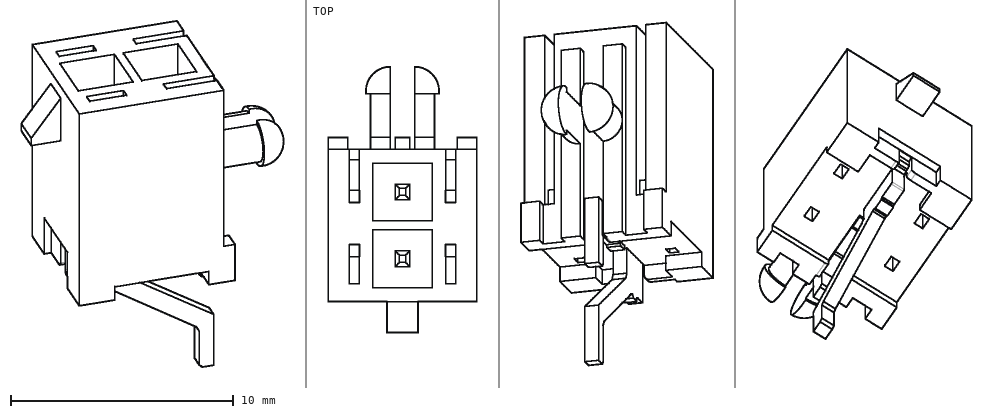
import cadquery as cq
import math

HOUSING_WIDTH = 6.7
HOUSING_HEIGHT = 9.9
FRONT_Y = -7.38
REAR_WALL_Y = -0.52
STANDOFF_WIDTH = 0.89
STANDOFF_HEIGHT = 1.86

LATCH_WIDTH = 1.42
LATCH_REACH = 1.4
LATCH_BOTTOM_Z = 7.1
LATCH_LIP_HEIGHT = 0.38
LATCH_TOP_Z = 9.3

CONTACT_PITCH = 3.0
FRONT_CONTACT_Y = -5.45
REAR_CONTACT_Y = FRONT_CONTACT_Y + CONTACT_PITCH
CAVITY_WIDTH = 2.65
CAVITY_DEPTH = 2.59
CAVITY_FLOOR_Z = 2.7

SLOT_WIDTH = 0.45
SLOT_X = 2.16
SLOT_WINDOW = 0.54
FRONT_SLOT_START_Y = -6.57
FRONT_SLOT_END_Y = -4.82
REAR_SLOT_START_Y = -2.93
REAR_SLOT_STEP_Y = -1.0
SLOT_FLOOR_Z = CAVITY_FLOOR_Z
SLOT_STEP_Z = STANDOFF_HEIGHT

CHANNEL_START_Y = -5.7
CHANNEL_END_Y = -1.24
CHANNEL_HEIGHT = 0.68
RECESS_WIDTH = 3.3
RECESS_DEPTH = 0.33
GATE_THICKNESS = 0.4
SLOT_MOUTH_RADIUS = 0.2

PEG_Z = 5.3
PEG_HALF_GAP = 0.54
PEG_RADIUS = 0.9
PEG_HEAD_RADIUS = 1.11
PEG_HEAD_UNDERCUT = 0.11
PEG_TIP_Y = 3.18
PEG_RIB_TOP_Z = 8.92

PIN_WIDTH = 0.65
PIN_THICKNESS = 0.7
PIN_TOP_Z = 7.95
PIN_TIP_CHAMFER = 0.19
PIN_TIP_LENGTH = 0.8
TAIL_CHAMFER = 0.15
BASE_TOP_Z = 1.76

FRONT_TAIL_END_Z = -6.0
FRONT_BASE_FRONT_Y = -6.45
FRONT_BASE_REAR_Y = -4.12
FRONT_BASE_BOTTOM_Z = -1.18
BARB_REACH = 0.4
BARB_BOTTOM_Z = 1.0
BARB_CHAMFER = 0.15
BARB_LEAD_RUN = 0.03
BARB_LEAD_HEIGHT = 0.1
NUB_FRONT_Y = -5.56
NUB_REAR_Y = -5.07
NUB_HEIGHT = 0.2
NUB_LEAD = 0.11
NUB_ROOT = 0.06
ARM_TOP_Z = -0.7
ARM_OUTER_BEND_Z = -3.37
ARM_INNER_BEND_Z = -3.96
ARM_ROOT_BEVEL = 0.19
TAIL_BEND_BEVEL = 0.15
BASE_CORNER_RADIUS = 0.08

REAR_TAIL_END_Z = -1.34
REAR_BASE_FRONT_Y = -3.78
REAR_BASE_BOTTOM_Z = 0.5
RELIEF_HEIGHT = 0.1
RELIEF_FRONT_Y = -3.23
RELIEF_REAR_Y = -1.69


def box(x_range, y_range, z_range):
    """Axis-aligned box between three pairs of limits."""
    size = [high - low for low, high in (x_range, y_range, z_range)]
    corner = (x_range[0], y_range[0], z_range[0])
    return cq.Workplane("XY").box(*size, centered=False).translate(corner)


def mid_box(width, y_range, z_range):
    """Box centred on the mid plane."""
    return box((-width / 2, width / 2), y_range, z_range)


def mirrored(solid):
    """A solid at +X together with its mirror image at -X."""
    return solid.union(solid.mirror("YZ"))


def extrude_profile(points, width):
    """Extrude a (Y, Z) outline symmetrically about the mid plane."""
    return cq.Workplane("YZ").polyline(points).close().extrude(width / 2, both=True)


def edge_along_x(solid, y, z):
    """Pick the edge along X that passes through (y, z)."""
    nearest = cq.selectors.NearestToPointSelector((0, y, z))
    return solid.edges("|X").edges(nearest)


def make_post(contact_y):
    """Square contact post with a tapered tip."""
    shoulder_z = PIN_TOP_Z - PIN_TIP_LENGTH
    y_range = (contact_y - PIN_THICKNESS / 2, contact_y + PIN_THICKNESS / 2)
    shaft = mid_box(PIN_WIDTH, y_range, (BASE_TOP_Z, shoulder_z))
    tip = (
        cq.Workplane("XY", origin=(0, contact_y, shoulder_z))
        .rect(PIN_WIDTH, PIN_THICKNESS)
        .workplane(offset=PIN_TIP_LENGTH)
        .rect(PIN_WIDTH - 2 * PIN_TIP_CHAMFER, PIN_THICKNESS - 2 * PIN_TIP_CHAMFER)
        .loft(ruled=True)
    )
    return shaft.union(tip)


def tail_end(end_z):
    """Tail end points: chamfered front corner, then square rear corner."""
    return [
        (-PIN_THICKNESS, end_z + TAIL_CHAMFER),
        (-PIN_THICKNESS + TAIL_CHAMFER, end_z),
        (0, end_z),
    ]


def make_front_pin():
    barb_y = FRONT_BASE_FRONT_Y - BARB_REACH
    nub_bottom_z = FRONT_BASE_BOTTOM_Z - NUB_HEIGHT
    outline = [
        (FRONT_BASE_REAR_Y, BASE_TOP_Z),
        (barb_y + BARB_LEAD_RUN, BASE_TOP_Z),
        (barb_y, BASE_TOP_Z - BARB_LEAD_HEIGHT),
        (barb_y, BARB_BOTTOM_Z + BARB_CHAMFER),
        (barb_y + BARB_CHAMFER, BARB_BOTTOM_Z),
        (FRONT_BASE_FRONT_Y - BARB_CHAMFER, BARB_BOTTOM_Z),
        (FRONT_BASE_FRONT_Y, BARB_BOTTOM_Z - BARB_CHAMFER),
        (FRONT_BASE_FRONT_Y, FRONT_BASE_BOTTOM_Z),
        (NUB_FRONT_Y - NUB_ROOT, FRONT_BASE_BOTTOM_Z),
        (NUB_FRONT_Y, FRONT_BASE_BOTTOM_Z - NUB_ROOT),
        (NUB_FRONT_Y, nub_bottom_z),
        (NUB_REAR_Y, nub_bottom_z),
        (NUB_REAR_Y + NUB_LEAD, FRONT_BASE_BOTTOM_Z - NUB_ROOT),
        (NUB_REAR_Y + 2 * NUB_LEAD, FRONT_BASE_BOTTOM_Z - NUB_ROOT),
        (-PIN_THICKNESS, ARM_INNER_BEND_Z),
        *tail_end(FRONT_TAIL_END_Z),
        (0, ARM_OUTER_BEND_Z),
        (FRONT_BASE_REAR_Y, ARM_TOP_Z),
    ]
    pin = extrude_profile(outline, PIN_WIDTH)
    pin = edge_along_x(pin, FRONT_BASE_FRONT_Y, FRONT_BASE_BOTTOM_Z).fillet(BASE_CORNER_RADIUS)
    pin = edge_along_x(pin, -PIN_THICKNESS, ARM_INNER_BEND_Z).chamfer(TAIL_BEND_BEVEL)
    pin = edge_along_x(pin, FRONT_BASE_REAR_Y, ARM_TOP_Z).chamfer(ARM_ROOT_BEVEL)
    return pin.union(make_post(FRONT_CONTACT_Y))


def make_rear_pin():
    relief_z = REAR_BASE_BOTTOM_Z + RELIEF_HEIGHT
    outline = [
        (0, BASE_TOP_Z),
        (REAR_BASE_FRONT_Y, BASE_TOP_Z),
        (REAR_BASE_FRONT_Y, REAR_BASE_BOTTOM_Z),
        (RELIEF_FRONT_Y, REAR_BASE_BOTTOM_Z),
        (RELIEF_FRONT_Y + RELIEF_HEIGHT, relief_z),
        (RELIEF_REAR_Y - RELIEF_HEIGHT, relief_z),
        (RELIEF_REAR_Y, REAR_BASE_BOTTOM_Z),
        (-PIN_THICKNESS, REAR_BASE_BOTTOM_Z),
        *tail_end(REAR_TAIL_END_Z),
    ]
    return extrude_profile(outline, PIN_WIDTH).union(make_post(REAR_CONTACT_Y))


def make_shell():
    """Main block with the two corner standoffs at the rear foot."""
    half_width = HOUSING_WIDTH / 2
    block = mid_box(HOUSING_WIDTH, (FRONT_Y, REAR_WALL_Y), (0, HOUSING_HEIGHT))
    standoff = box((half_width - STANDOFF_WIDTH, half_width), (REAR_WALL_Y, 0), (0, STANDOFF_HEIGHT))
    return block.union(mirrored(standoff))


def make_latch():
    outline = [
        (FRONT_Y, LATCH_TOP_Z),
        (FRONT_Y - LATCH_REACH, LATCH_BOTTOM_Z + LATCH_LIP_HEIGHT),
        (FRONT_Y - LATCH_REACH, LATCH_BOTTOM_Z),
        (FRONT_Y, LATCH_BOTTOM_Z),
    ]
    return extrude_profile(outline, LATCH_WIDTH)


def make_split_peg():
    """Two half-round legs with domed heads, each on its own rib of the rear wall."""
    head_y = PEG_TIP_Y - PEG_HEAD_RADIUS
    shoulder_y = head_y - PEG_HEAD_UNDERCUT
    shoulder_radius = math.sqrt(PEG_HEAD_RADIUS**2 - PEG_HEAD_UNDERCUT**2)
    leg = (
        cq.Workplane("YZ", origin=(PEG_HALF_GAP, 0, PEG_Z))
        .lineTo(0, PEG_RADIUS)
        .lineTo(shoulder_y, PEG_RADIUS)
        .lineTo(shoulder_y, shoulder_radius)
        .radiusArc((PEG_TIP_Y, 0), PEG_HEAD_RADIUS)
        .close()
        .revolve(180, (0, 0), (1, 0))
    )
    rib = box((PEG_HALF_GAP, PEG_HALF_GAP + PEG_RADIUS), (REAR_WALL_Y, 0), (0, PEG_RIB_TOP_Z))
    return mirrored(leg.union(rib))


def cavity_cut(contact_y):
    y_range = (contact_y - CAVITY_DEPTH / 2, contact_y + CAVITY_DEPTH / 2)
    return mid_box(CAVITY_WIDTH, y_range, (CAVITY_FLOOR_Z, HOUSING_HEIGHT))


def side_slot_cuts():
    """Slots beside the cavities, each with a window down to the foot channel."""
    x_range = (SLOT_X - SLOT_WIDTH / 2, SLOT_X + SLOT_WIDTH / 2)
    pockets = [
        (FRONT_SLOT_START_Y, FRONT_SLOT_END_Y, SLOT_FLOOR_Z),
        (FRONT_SLOT_END_Y - SLOT_WINDOW, FRONT_SLOT_END_Y, 0),
        (REAR_SLOT_START_Y, REAR_WALL_Y, SLOT_FLOOR_Z),
        (REAR_SLOT_START_Y, REAR_SLOT_START_Y + SLOT_WINDOW, 0),
        (REAR_SLOT_STEP_Y, REAR_WALL_Y, SLOT_STEP_Z),
    ]
    cuts = cq.Workplane("XY")
    for start_y, end_y, floor_z in pockets:
        cuts = cuts.union(box(x_range, (start_y, end_y), (floor_z, HOUSING_HEIGHT)))
    return mirrored(cuts)


def foot_cuts():
    """Cross channel, front recess, and the pin slots in the gate and the rear foot."""
    gate_front_y = FRONT_Y + RECESS_DEPTH
    gate_rear_y = gate_front_y + GATE_THICKNESS
    channel = mid_box(HOUSING_WIDTH, (CHANNEL_START_Y, CHANNEL_END_Y), (0, CHANNEL_HEIGHT))
    pocket = mid_box(RECESS_WIDTH, (gate_rear_y, CHANNEL_START_Y), (0, CHANNEL_HEIGHT))
    recess = mid_box(RECESS_WIDTH, (FRONT_Y, gate_front_y), (0, STANDOFF_HEIGHT))
    gate_slot = mid_box(PIN_WIDTH, (gate_front_y, FRONT_BASE_FRONT_Y), (0, BASE_TOP_Z))
    rear_slot = mid_box(PIN_WIDTH, (CHANNEL_END_Y, REAR_WALL_Y), (0, CHANNEL_HEIGHT))
    return channel.union(pocket).union(recess).union(gate_slot).union(rear_slot)


def round_slot_mouths(housing):
    """Round the lower corners of the pin slots in the gate and the rear foot."""
    gate_mid_y = FRONT_Y + RECESS_DEPTH + GATE_THICKNESS / 2
    rear_foot_mid_y = (CHANNEL_END_Y + REAR_WALL_Y) / 2
    for y in (gate_mid_y, rear_foot_mid_y):
        for side in (-1, 1):
            nearest = cq.selectors.NearestToPointSelector((side * PIN_WIDTH / 2, y, 0))
            housing = housing.edges("|Y").edges(nearest).fillet(SLOT_MOUTH_RADIUS)
    return housing


def make_housing(pins):
    housing = make_shell().union(make_latch()).union(make_split_peg())
    for contact_y in (FRONT_CONTACT_Y, REAR_CONTACT_Y):
        housing = housing.cut(cavity_cut(contact_y))
    housing = housing.cut(side_slot_cuts()).cut(foot_cuts())
    housing = round_slot_mouths(housing)
    for pin in pins:
        housing = housing.cut(pin)
    return housing


front_pin = make_front_pin()
rear_pin = make_rear_pin()
housing = make_housing([front_pin, rear_pin])

bodies = [housing, front_pin, rear_pin]
result = cq.Compound.makeCompound([body.solids().val() for body in bodies])